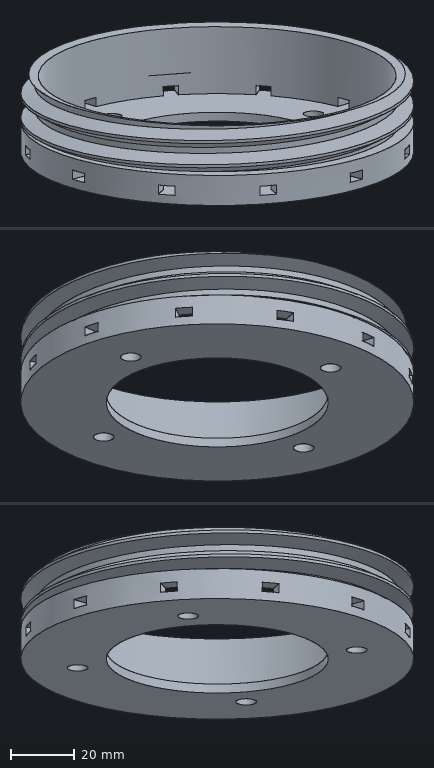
import cadquery as cq

outer_diameter = 124.2
bore_diameter = 113.0
total_height = 25.0
base_height = 9.9
floor_thickness = 3.0

center_hole_diameter = 70.0
bolt_hole_diameter = 6.5
bolt_circle_diameter = 90.0
bolt_hole_count = 4

window_count = 12
window_height = 3.0
window_arc = 5.0

thread_root_diameter = 115.3
thread_pitch = 8.0
thread_turns = 3
thread_start_height = 6.1
thread_crest_width = 1.0
thread_root_width = 6.0

overlap = 0.4

outer_radius = outer_diameter / 2
bore_radius = bore_diameter / 2
root_radius = thread_root_diameter / 2


def cylinder(diameter, bottom, top):
    return cq.Workplane("XY").workplane(offset=bottom).circle(diameter / 2).extrude(top - bottom)


def make_cup():
    """Base band, threaded neck and floor, without the thread ridge."""
    body = cylinder(outer_diameter, 0, base_height)
    body = body.union(cylinder(thread_root_diameter, 0, total_height))
    return body.cut(cylinder(bore_diameter, floor_thickness, total_height))


def make_thread():
    """Trapezoidal ridge trimmed flat by the base band and the top rim."""
    inner_radius = root_radius - overlap
    flank_slope = (thread_root_width - thread_crest_width) / 2 / (outer_radius - root_radius)
    half_crest = thread_crest_width / 2
    half_inner = thread_root_width / 2 + flank_slope * overlap
    profile = cq.Workplane("XZ").polyline([
        (inner_radius, thread_start_height - half_inner),
        (outer_radius, thread_start_height - half_crest),
        (outer_radius, thread_start_height + half_crest),
        (inner_radius, thread_start_height + half_inner),
    ]).close()
    helix = cq.Wire.makeHelix(
        thread_pitch, thread_turns * thread_pitch, root_radius, cq.Vector(0, 0, thread_start_height)
    )
    ridge = profile.sweep(cq.Workplane(obj=helix), isFrenet=True)
    return ridge.intersect(cylinder(outer_diameter + 2 * overlap, base_height, total_height))


def make_window(start_angle):
    """Wedge with radial sides, running counterclockwise from the given angle."""
    section = (
        cq.Workplane("XZ")
        .moveTo(bore_radius - overlap, floor_thickness)
        .lineTo(outer_radius + overlap, floor_thickness)
        .lineTo(outer_radius + overlap, floor_thickness + window_height)
        .lineTo(bore_radius - overlap, floor_thickness + window_height)
        .close()
    )
    wedge = section.revolve(window_arc, (0, 0, 0), (0, 1, 0))
    return wedge.rotate((0, 0, 0), (0, 0, 1), start_angle)


result = make_cup().union(make_thread())

for index in range(window_count):
    result = result.cut(make_window(index * 360 / window_count - window_arc))

result = result.cut(cylinder(center_hole_diameter, 0, floor_thickness))
bolt_holes = (
    cq.Workplane("XY")
    .polarArray(bolt_circle_diameter / 2, 0, 360, bolt_hole_count)
    .circle(bolt_hole_diameter / 2)
    .extrude(floor_thickness)
)
result = result.cut(bolt_holes)